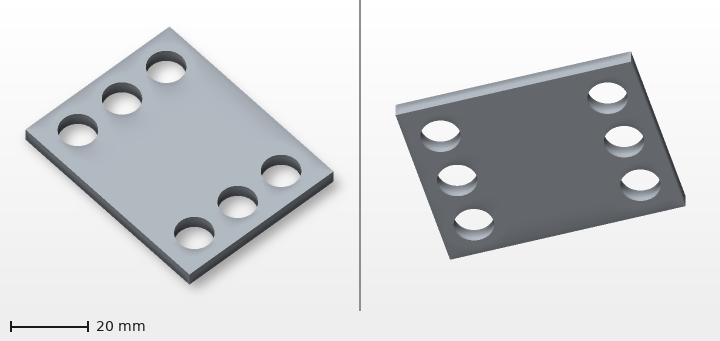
import cadquery as cq

length = 62.99
width = 49.78
thickness = 4.25

hole_diameter = 10.41
end_margin = 9.14
first_hole_y = 9.91
holes_per_column = 3
left_pitch = 15.24
right_pitch = 14.99


def hole_column(x, pitch):
    """Centres of one column of holes, starting from the lowest hole."""
    return [(x, first_hole_y + i * pitch) for i in range(holes_per_column)]


plate = cq.Workplane("XY").box(length, width, thickness, centered=False)

hole_centres = hole_column(end_margin, left_pitch) + hole_column(length - end_margin, right_pitch)
holes = (
    cq.Workplane("XY")
    .pushPoints(hole_centres)
    .circle(hole_diameter / 2)
    .extrude(thickness)
)

result = plate.cut(holes)